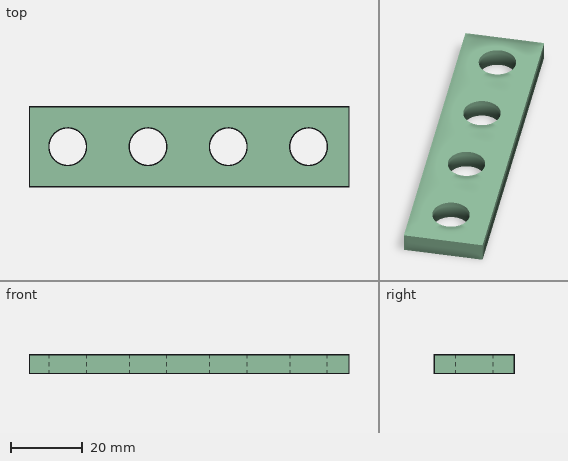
import cadquery as cq

length = 88.9
width = 22.3
thickness = 5.25

hole_count = 4
hole_diameter = 10.4
hole_pitch = width
first_hole_from_end = 10.7

first_hole_x = -length / 2 + first_hole_from_end
hole_centers = [(first_hole_x + i * hole_pitch, 0) for i in range(hole_count)]

bar = cq.Workplane("XY").box(length, width, thickness)

result = bar.faces(">Z").workplane(origin=(0, 0, 0)).pushPoints(hole_centers).hole(hole_diameter)